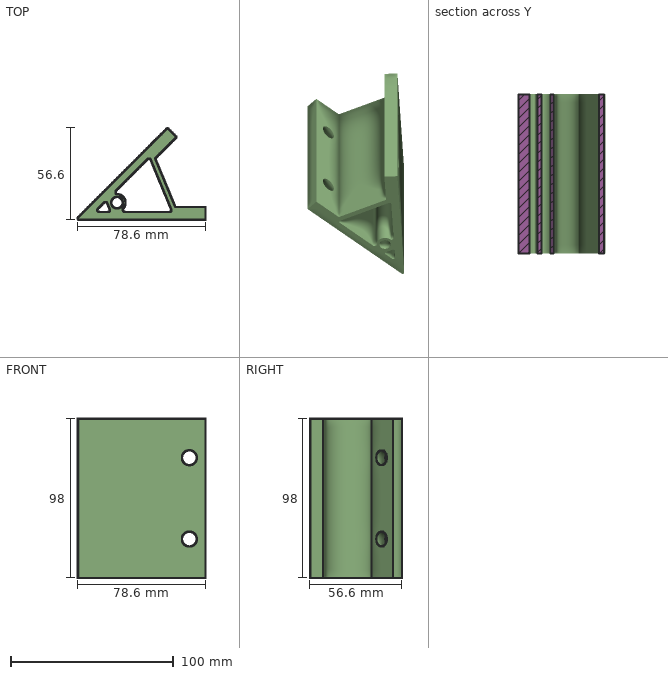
import cadquery as cq
import math

height = 98.0
arm_length = 80.0
arm_angle = 45.0
arm_thickness = 8.0
wall = 5.0
web_thickness = 3.0
web_outer = 59.8
apex_radius = 1.0
pocket_radius = 1.0

rod_hole_diameter = 7.0
boss_radius = 5.3
boss_distance = 27.6
main_pocket_back = 29.2
small_pocket_front = 21.9

mount_hole_diameter = 9.0
mount_hole_end_margin = 10.0
mount_hole_spacing = 50.0

half_angle = math.radians(arm_angle / 2)
tan_half = math.tan(half_angle)
cos_half = math.cos(half_angle)
sin_half = math.sin(half_angle)



def half_width(distance, depth):
    """Offset from the bisector of a line lying depth inside an outer face."""
    return distance * tan_half - depth / cos_half


def extrude_section(points):
    return cq.Workplane("XY").polyline(points).close().extrude(height)


def mirrored(points):
    """Close a half outline with its mirror image across the bisector."""
    return points + [(x, -y) for x, y in reversed(points) if y != 0]


def make_body():
    tip = (arm_length * cos_half, arm_length * sin_half)
    inner_tip = (tip[0] + arm_thickness * sin_half, tip[1] - arm_thickness * cos_half)
    web_corner = (web_outer, half_width(web_outer, arm_thickness))
    body = extrude_section(mirrored([(0, 0), tip, inner_tip, web_corner]))
    return body.edges("|Z").edges("<X").fillet(apex_radius)


def make_main_pocket():
    front = web_outer - web_thickness
    pocket = extrude_section(
        mirrored(
            [
                (main_pocket_back, half_width(main_pocket_back, wall)),
                (front, half_width(front, wall)),
            ]
        )
    )
    pocket = pocket.edges("|Z").fillet(pocket_radius)
    boss = cq.Workplane("XY").center(boss_distance, 0).circle(boss_radius).extrude(height)
    return pocket.cut(boss)


def make_small_pocket():
    back = wall / sin_half
    front_corner = (small_pocket_front, half_width(small_pocket_front, wall))
    return extrude_section(mirrored([(back, 0), front_corner])).edges("|Z").fillet(pocket_radius)


def make_rod_hole():
    return cq.Workplane("XY").center(boss_distance, 0).circle(rod_hole_diameter / 2).extrude(height)


def make_mount_holes(side):
    """Holes square through one arm; side is +1 or -1 across the bisector."""
    along = arm_length - mount_hole_end_margin
    inward = cq.Vector(sin_half, -side * cos_half, 0)
    holes = cq.Workplane("XY")
    for z_offset in (-mount_hole_spacing / 2, mount_hole_spacing / 2):
        start = cq.Vector(along * cos_half, side * along * sin_half, height / 2 + z_offset)
        hole = cq.Solid.makeCylinder(mount_hole_diameter / 2, arm_thickness, start, inward)
        holes = holes.add(hole)
    return holes.combine()


result = (
    make_body()
    .cut(make_main_pocket())
    .cut(make_small_pocket())
    .cut(make_rod_hole())
    .cut(make_mount_holes(1))
    .cut(make_mount_holes(-1))
    .rotate((0, 0, 0), (0, 0, 1), arm_angle / 2)
)